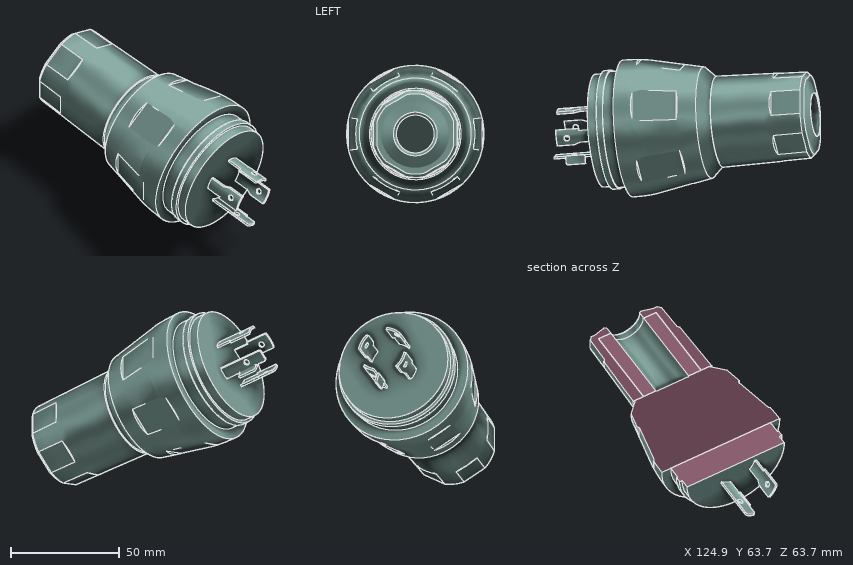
import cadquery as cq
import math


NUT_FRONT = 1.5
NUT_BACK = 45.2
SHOULDER_END = 51.0
SLEEVE_BEND = 76.4
SLEEVE_BACK = 88.8
RIB_FRONT = 94.85
RIB_BACK = 97.85
CARRIER_BACK = 102.35
OVERALL_LENGTH = 124.87

CABLE_RADIUS = 8.75
GROMMET_RADIUS = 15.7
GROMMET_FRONT = 4.2

LIP_RADIUS = 15.7
MOUTH_RADIUS = 10.1
MOUTH_ROUND = MOUTH_RADIUS - CABLE_RADIUS
NUT_FRONT_RADIUS = 20.1
NUT_BACK_RADIUS = 21.2
NUT_TAPER = (NUT_BACK_RADIUS - NUT_FRONT_RADIUS) / (NUT_BACK - NUT_FRONT)
NUT_CHAMFER = 1.5
BEVEL_TAPER = 1.0
FLAT_DEPTH = 0.85
FLAT_END = 16.6

SLEEVE_FRONT_RADIUS = 20.3
SHOULDER_RADIUS = 25.9
SLEEVE_BEND_RADIUS = 31.0
SLEEVE_RADIUS = 31.85
SLEEVE_TAPER = (SLEEVE_BEND_RADIUS - SHOULDER_RADIUS) / (SLEEVE_BEND - SHOULDER_END)
GRIP_START = 60.1
GRIP_END = 80.1
GRIP_DEPTH = 0.9

FACET_COUNT = 6
FACET_STEP = 360 / FACET_COUNT

CARRIER_FRONT_RADIUS = 27.0
RIB_RADIUS = 27.6
CARRIER_BACK_RADIUS = 26.25

CONTACT_OUTER_RADIUS = 11.6
CONTACT_THICKNESS = 1.0
CONTACT_INNER_RADIUS = CONTACT_OUTER_RADIUS - CONTACT_THICKNESS
CONTACT_LEAN = 20.0
CONTACT_OFFSET = 1.9
CONTACT_STEP = 90.0
BLADE_WIDTH = 7.5
NECK_WIDTH = 5.5
NECK_LENGTH = 7.5
BLADE_LENGTH = 18.4
RAMP_END = 10.5
BLADE_CORNER = 0.4
HOLE_DIAMETER = 2.6
HOLE_DISTANCE = 13.4
HOLE_ANGLE = 32.0
POWER_INDEXES = (-1, 0, 1)
GROUND_INDEX = 2

GROUND_LENGTH = OVERALL_LENGTH - CARRIER_BACK
GROUND_CORNER = 1.0
TAB_END = 16.6
TAB_HEIGHT = 14.75
TAB_CORNER = 1.0
TAB_INNER_BEND = 0.6
TAB_OUTER_BEND = 0.4


def facet_cutter(start, end, base, base_radius, taper):
    """Block above a tilted plane on the +Y side, with 45 degree walls at both ends."""
    clearance = SLEEVE_RADIUS
    start_radius = base_radius + taper * (start - base)
    end_radius = base_radius + taper * (end - base)
    return (
        cq.Workplane("XY")
        .polyline([
            (start, start_radius),
            (end, end_radius),
            (end + clearance, end_radius + clearance),
            (start - clearance, start_radius + clearance),
        ])
        .close()
        .extrude(clearance, both=True)
    )


def cut_facets(body, cutter):
    for index in range(FACET_COUNT):
        body = body.cut(cutter.rotate((0, 0, 0), (1, 0, 0), index * FACET_STEP))
    return body


def make_grommet():
    return (
        cq.Workplane("YZ", origin=(GROMMET_FRONT, 0, 0))
        .circle(GROMMET_RADIUS)
        .circle(CABLE_RADIUS)
        .extrude(NUT_BACK - GROMMET_FRONT)
    )


def make_nut():
    body = (
        cq.Workplane("XY")
        .polyline([
            (NUT_FRONT, 0),
            (NUT_FRONT, NUT_FRONT_RADIUS - NUT_CHAMFER),
            (NUT_FRONT + NUT_CHAMFER, NUT_FRONT_RADIUS + NUT_TAPER * NUT_CHAMFER),
            (NUT_BACK, NUT_BACK_RADIUS),
            (NUT_BACK, 0),
        ])
        .close()
        .revolve(360, (0, 0, 0), (1, 0, 0))
    )
    flat_radius = NUT_FRONT_RADIUS - FLAT_DEPTH
    flat = facet_cutter(0, FLAT_END, NUT_FRONT, flat_radius, NUT_TAPER)
    bevel_end = NUT_FRONT + NUT_CHAMFER
    bevel = facet_cutter(0, bevel_end, NUT_FRONT, flat_radius - NUT_CHAMFER, BEVEL_TAPER)
    body = cut_facets(cut_facets(body, flat), bevel)

    lip = (
        cq.Workplane("XY")
        .polyline([
            (0, 0),
            (0, MOUTH_RADIUS),
            (NUT_FRONT, LIP_RADIUS),
            (NUT_FRONT, 0),
        ])
        .close()
        .revolve(360, (0, 0, 0), (1, 0, 0))
    )

    bore = (
        cq.Workplane("XY")
        .moveTo(0, 0)
        .lineTo(0, MOUTH_RADIUS)
        .radiusArc((MOUTH_ROUND, CABLE_RADIUS), -MOUTH_ROUND)
        .lineTo(GROMMET_FRONT, CABLE_RADIUS)
        .lineTo(GROMMET_FRONT, GROMMET_RADIUS)
        .lineTo(NUT_BACK, GROMMET_RADIUS)
        .lineTo(NUT_BACK, 0)
        .close()
        .revolve(360, (0, 0, 0), (1, 0, 0))
    )
    return body.union(lip).cut(bore)


def make_sleeve():
    arc_middle = (
        (SLEEVE_BEND + SLEEVE_BACK) / 2,
        SLEEVE_RADIUS - (SLEEVE_RADIUS - SLEEVE_BEND_RADIUS) / 4,
    )
    body = (
        cq.Workplane("XY")
        .moveTo(NUT_BACK, 0)
        .lineTo(NUT_BACK, SLEEVE_FRONT_RADIUS)
        .lineTo(SHOULDER_END, SHOULDER_RADIUS)
        .lineTo(SLEEVE_BEND, SLEEVE_BEND_RADIUS)
        .threePointArc(arc_middle, (SLEEVE_BACK, SLEEVE_RADIUS))
        .lineTo(SLEEVE_BACK, 0)
        .close()
        .revolve(360, (0, 0, 0), (1, 0, 0))
    )
    cutter = facet_cutter(GRIP_START, GRIP_END, SHOULDER_END, SHOULDER_RADIUS - GRIP_DEPTH, SLEEVE_TAPER)
    return cut_facets(body, cutter)


def make_carrier():
    return (
        cq.Workplane("XY")
        .polyline([
            (SLEEVE_BACK, 0),
            (SLEEVE_BACK, CARRIER_FRONT_RADIUS),
            (RIB_FRONT, CARRIER_FRONT_RADIUS),
            (RIB_FRONT, RIB_RADIUS),
            (RIB_BACK, RIB_RADIUS),
            (RIB_BACK, CARRIER_BACK_RADIUS),
            (CARRIER_BACK, CARRIER_BACK_RADIUS),
            (CARRIER_BACK, 0),
        ])
        .close()
        .revolve(360, (0, 0, 0), (1, 0, 0))
    )


def neck_edge(side):
    return CONTACT_OFFSET + side * NECK_WIDTH / 2


def blade_edge(side):
    return CONTACT_OFFSET + side * BLADE_WIDTH / 2


def outline_block(points):
    """Block along the cutting direction over an outline given from the carrier's face."""
    return (
        cq.Workplane("XY", origin=(CARRIER_BACK, 0, 0))
        .polyline(points)
        .close()
        .extrude(CONTACT_OUTER_RADIUS + CONTACT_THICKNESS)
    )


def bend_contact(block):
    """Curved strip cut from the contact ring by the block, with its radial hole."""
    ring = (
        cq.Workplane("YZ", origin=(CARRIER_BACK, 0, 0))
        .circle(CONTACT_OUTER_RADIUS)
        .circle(CONTACT_INNER_RADIUS)
        .extrude(GROUND_LENGTH)
    )
    hole = (
        cq.Workplane("XY", origin=(CARRIER_BACK + HOLE_DISTANCE, 0, 0))
        .circle(HOLE_DIAMETER / 2)
        .extrude(CONTACT_OUTER_RADIUS + CONTACT_THICKNESS)
        .rotate((0, 0, 0), (1, 0, 0), CONTACT_LEAN - HOLE_ANGLE)
    )
    return ring.intersect(block).cut(hole)


def make_power_contact():
    block = outline_block([
        (0, neck_edge(-1)),
        (NECK_LENGTH, neck_edge(-1)),
        (NECK_LENGTH, blade_edge(-1)),
        (BLADE_LENGTH, blade_edge(-1)),
        (BLADE_LENGTH, blade_edge(1)),
        (RAMP_END, blade_edge(1)),
        (NECK_LENGTH, neck_edge(1)),
        (0, neck_edge(1)),
    ])
    block = block.edges("|Z and >X and <Y").fillet(BLADE_CORNER)
    return bend_contact(block)


def make_ground_contact():
    block = outline_block([
        (0, neck_edge(-1)),
        (NECK_LENGTH, neck_edge(-1)),
        (NECK_LENGTH, blade_edge(-1)),
        (TAB_END, blade_edge(-1)),
        (TAB_END, neck_edge(-1)),
        (GROUND_LENGTH, neck_edge(-1)),
        (GROUND_LENGTH, neck_edge(1)),
        (0, neck_edge(1)),
    ])
    block = block.edges("|Z and >X").fillet(GROUND_CORNER)
    contact = bend_contact(block)

    tab_near = blade_edge(-1)
    tab_far = tab_near + CONTACT_THICKNESS
    tab_root = math.sqrt(CONTACT_INNER_RADIUS**2 - tab_near**2)
    tab = (
        cq.Workplane("XY")
        .box(TAB_END - NECK_LENGTH, CONTACT_THICKNESS, TAB_HEIGHT - tab_root, centered=False)
        .translate((CARRIER_BACK + NECK_LENGTH, tab_near, tab_root))
    )
    tab = tab.edges(">X and >Z").fillet(TAB_CORNER)
    contact = contact.union(tab)

    middle_x = CARRIER_BACK + (NECK_LENGTH + TAB_END) / 2
    inside_corner = (middle_x, tab_far, math.sqrt(CONTACT_OUTER_RADIUS**2 - tab_far**2))
    outside_corner = (middle_x, tab_near, tab_root)
    contact = contact.edges(cq.NearestToPointSelector(inside_corner)).fillet(TAB_INNER_BEND)
    return contact.edges(cq.NearestToPointSelector(outside_corner)).fillet(TAB_OUTER_BEND)


def place(contact, index):
    """Turns a contact from the +Z side to its place in the circle of contacts."""
    return contact.rotate((0, 0, 0), (1, 0, 0), index * CONTACT_STEP - CONTACT_LEAN)


grommet = make_grommet()
nut = make_nut()
sleeve = make_sleeve()
carrier = make_carrier()
power_contacts = [place(make_power_contact(), index) for index in POWER_INDEXES]
ground_contact = place(make_ground_contact(), GROUND_INDEX)

result = cq.Compound.makeCompound([
    grommet.val(),
    nut.val(),
    sleeve.val(),
    carrier.val(),
    *[contact.val() for contact in power_contacts],
    ground_contact.val(),
])